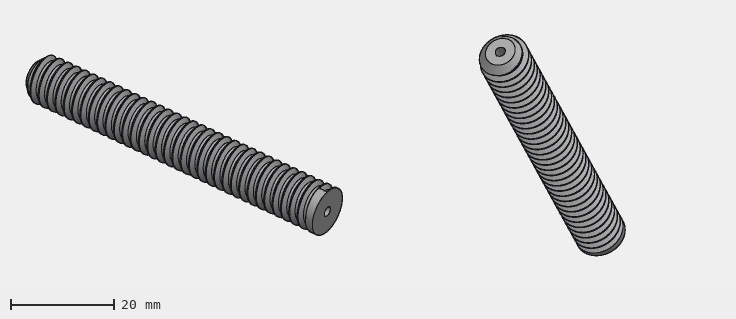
import cadquery as cq
import math

length = 70
outer_diameter = 10.0
outer_radius = outer_diameter / 2
bore_diameter = 2.0

turns_per_length = 35
pitch = length / turns_per_length
thread_turns = turns_per_length - 1
chamfer = pitch
thread_start = pitch / 2
thread_height = thread_turns * pitch
thread_depth = 1.0
thread_angle = 60
crest_width = pitch / 8
groove_overshoot = 0.1


def rod_blank():
    """Rod along +Z, chamfered at its lower end and bored through."""
    rod = cq.Workplane("XY").circle(outer_radius).extrude(length)
    rod = rod.faces("<Z").chamfer(chamfer)
    bore = cq.Workplane("XY").circle(bore_diameter / 2).extrude(length)
    return rod.cut(bore)


def thread_groove():
    """Helical groove with square ends, starting and finishing on the +X side of the rod."""
    root_radius = outer_radius - thread_depth
    reach = outer_radius + groove_overshoot
    flank_slope = math.tan(math.radians(thread_angle / 2))
    half_mouth = (pitch - crest_width) / 2
    half_root = half_mouth - thread_depth * flank_slope
    half_reach = half_mouth + groove_overshoot * flank_slope
    section = [
        (root_radius, -half_root),
        (reach, -half_reach),
        (reach, half_reach),
        (root_radius, half_root),
    ]
    helix = cq.Wire.makeHelix(pitch, thread_height, root_radius)
    groove = cq.Workplane("XZ").polyline(section).close().sweep(cq.Workplane(helix), isFrenet=True)
    return groove.translate((0, 0, thread_start))


threaded_rod = rod_blank().cut(thread_groove())
result = threaded_rod.rotate((0, 0, 0), (1, 0, 1), 180).translate((-length / 2, 0, 0))